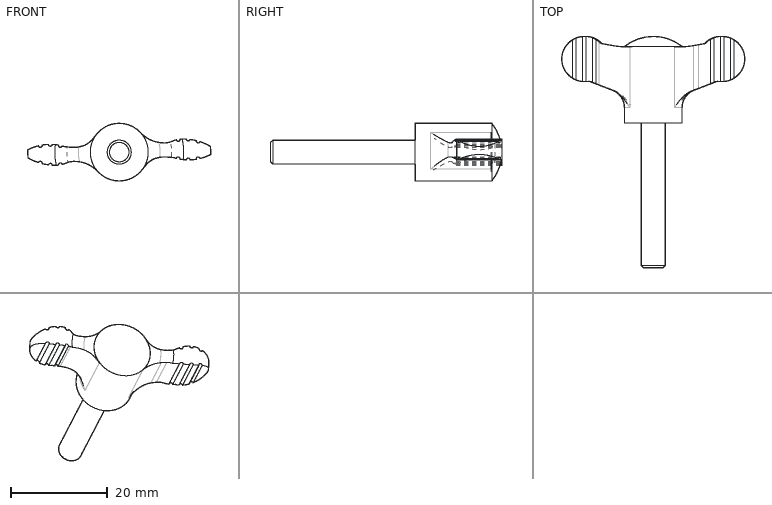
import cadquery as cq
import math

hub_radius = 6.0
hub_length = 18.0
hub_edge_y = 15.9
stud_radius = 2.5
stud_length = 30.0
stud_chamfer = 0.5

lobe_radius = 4.7
lobe_x = 37.95 / 2 - lobe_radius
lobe_y = hub_length - lobe_radius
tip_x = lobe_x + lobe_radius
root_radius = 3.85
root_y = 3.2
root_slope = math.radians(21)
lower_corner_x = 13.35
upper_corner_x = 10.85
upper_bend = (8.2, 16.05)
upper_root = (6.0, 15.75)

upper_root_x = 4.4
lower_root_x = 4.85
upper_neck = (8.3, 2.0)
upper_neck_end = (9.4, 1.9)
upper_grip_start = (11.55, 2.5)
upper_grip_peak = (13.7, 2.75)
upper_tip_z = 1.15
lower_blend_middle = (7.2, -1.4)
lower_neck = (9.85, -0.95)
lower_grip_start = (11.3, -1.15)
lower_grip_peak = (14.0, -1.65)
lower_tip_z = -0.5
section_overrun = 0.5
section_depth = hub_length + section_overrun

groove_radius = 0.4
grooves = [(12.2, 2.65, -1.4), (lobe_x, 2.75, -1.65), (16.35, 2.3, -1.4)]


def circle_height(radius, offset):
    """Height of a circle above its centre at a sideways offset."""
    return math.sqrt(radius**2 - offset**2)


def make_hub():
    return (
        cq.Workplane("XY")
        .lineTo(hub_radius, 0)
        .lineTo(hub_radius, hub_edge_y)
        .threePointArc(dome_middle(), (0, hub_length))
        .close()
        .revolve(360, (0, 0, 0), (0, 1, 0))
    )


def dome_middle():
    """Point halfway out along the spherical dome."""
    rise = hub_length - hub_edge_y
    sphere_radius = (hub_radius**2 + rise**2) / (2 * rise)
    middle_x = hub_radius / 2
    return middle_x, hub_length - sphere_radius + circle_height(sphere_radius, middle_x)


def make_stud():
    stud = cq.Workplane("XZ").circle(stud_radius).extrude(stud_length)
    return stud.faces("<Y").chamfer(stud_chamfer)


def wing_outline():
    root_end = (
        hub_radius + root_radius * (1 - math.sin(root_slope)),
        root_y + root_radius * math.cos(root_slope),
    )
    half_angle = (math.pi / 2 - root_slope) / 2
    root_middle = (
        hub_radius + root_radius * (1 - math.cos(half_angle)),
        root_y + root_radius * math.sin(half_angle),
    )
    lower_corner_y = lobe_y - circle_height(lobe_radius, lobe_x - lower_corner_x)
    upper_corner_y = lobe_y + circle_height(lobe_radius, lobe_x - upper_corner_x)
    return (
        cq.Workplane("XY")
        .moveTo(0, root_y)
        .lineTo(hub_radius, root_y)
        .threePointArc(root_middle, root_end)
        .lineTo(lower_corner_x, lower_corner_y)
        .threePointArc((tip_x, lobe_y), (upper_corner_x, upper_corner_y))
        .lineTo(*upper_bend)
        .lineTo(*upper_root)
        .lineTo(0, upper_root[1])
        .close()
        .revolve(360, (0, 0, 0), (0, 1, 0))
    )


def wing_section():
    upper_root_z = circle_height(hub_radius, upper_root_x)
    lower_root_z = -circle_height(hub_radius, lower_root_x)
    upper_tangent = cq.Vector(upper_root_z, -upper_root_x)
    lower_tangent = (lower_root_z, -lower_root_x)
    upper_blend = cq.Edge.makeTangentArc(
        cq.Vector(upper_root_x, upper_root_z), upper_tangent, cq.Vector(*upper_neck)
    )
    upper_middle = upper_blend.positionAt(0.5).toTuple()[:2]
    neck_direction = (upper_neck_end[0] - upper_neck[0], upper_neck_end[1] - upper_neck[1])
    lower_neck_direction = (
        lower_neck[0] - lower_grip_start[0],
        lower_neck[1] - lower_grip_start[1],
    )
    upper_grip = [upper_grip_start, upper_grip_peak, (tip_x, upper_tip_z)]
    upper_tip_direction = (tip_x - upper_grip_peak[0], 2 * (upper_tip_z - upper_grip_peak[1]))
    lower_blend = [lower_neck, lower_blend_middle, (lower_root_x, lower_root_z)]
    section_end_x = tip_x + section_overrun
    return (
        cq.Workplane("XZ")
        .moveTo(0, 0)
        .lineTo(upper_root_x, upper_root_z)
        .threePointArc(upper_middle, upper_neck)
        .lineTo(*upper_neck_end)
        .spline(upper_grip, tangents=[neck_direction, upper_tip_direction], includeCurrent=True)
        .lineTo(section_end_x, upper_tip_z)
        .lineTo(section_end_x, lower_tip_z)
        .lineTo(tip_x, lower_tip_z)
        .threePointArc(lower_grip_peak, lower_grip_start)
        .spline(lower_blend, tangents=[lower_neck_direction, lower_tangent], includeCurrent=True)
        .close()
        .extrude(-section_depth)
    )


def make_wing():
    section = wing_section()
    for groove_x, upper_z, lower_z in grooves:
        centres = [(groove_x, upper_z), (groove_x, lower_z)]
        cutter = cq.Workplane("XZ").pushPoints(centres).circle(groove_radius)
        section = section.cut(cutter.extrude(-section_depth))
    return section.intersect(wing_outline())


wing = make_wing()
opposite_wing = wing.rotate((0, 0, 0), (0, 1, 0), 180)
result = make_hub().union(make_stud()).union(wing).union(opposite_wing)